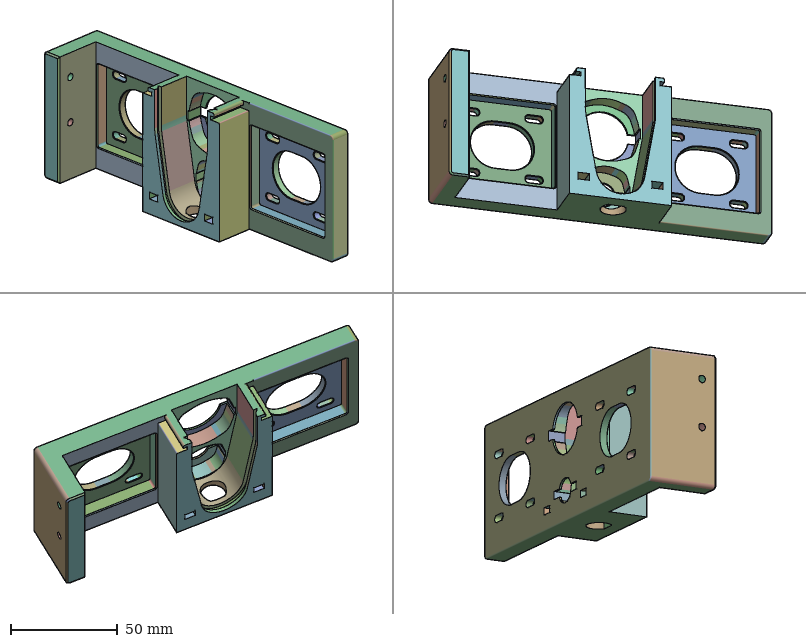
import cadquery as cq
import math


LENGTH = 165.0
DEPTH = 35.0
HEIGHT = 65.0
THICK = 10.0
MID_Z = HEIGHT / 2
CORNER_R = 2.0
EDGE_R = 0.5
WALL_RIM = 0.8

WALL_HOLE_D = 3.5
WALL_HOLE_INSET = 7.8
WALL_HOLE_HEIGHTS = (29.2, 52.5)

BLOCK_X = 85.0
BLOCK_W = 50.0
BLOCK_FRONT = 30.0
CHANNEL_FLOOR = 8.5
UPPER_Z = 45.0
LOWER_Z = 15.0
UPPER_R = 17.2
LOWER_R = 12.0
GROOVE_BACK = 25.5
GROOVE_FRONT = 28.2
GROOVE_REACH = 2.0

LEDGE_DROP = 4.0
LEDGE_W = 3.5
LEDGE_TOP_R = 1.0
UNDERCUT_W = 5.6
UNDERCUT_H = 2.0

WINDOW_W = 5.5
WINDOW_H = 3.5
WINDOW_OFFSET = 18.0
WINDOW_Z = 9.5
DRAIN_D = 12.2
DRAIN_Y = 18.0
DRAIN_FLAT = 22.8

MOUNT_OFFSET = 50.0
MOUNT_SKIN = 4.0
POCKET_W = 48.0
POCKET_H = 42.7
POCKET_CORNER_R = 1.0
BOLT_PITCH = 31.0
BOLT_SLOT_L = 8.4
BOLT_SLOT_W = 3.5
BOSS_SLOT_L = 30.9
BOSS_SLOT_W = 23.8
SLOT_CHAMFER = 0.3

HOLE_SKIN = 1.0
UPPER_HOLE = dict(z=UPPER_Z, bore=24.9, key_l=32.3, key_w=5.0,
                  tip_x=16.7, tip_z=17.3, corner=12.5, tip_r=19.8, corner_r=7.5)
LOWER_HOLE = dict(z=LOWER_Z, bore=12.0, key_l=22.0, key_w=4.0,
                  tip_x=11.2, tip_z=11.9, corner=9.0, tip_r=14.0, corner_r=5.3)

CUT = 3.3
NEAR = 0.2


def sketch_at(back_distance, x=0, z=0):
    """XZ workplane at a distance from the back; extrusions go toward the front."""
    return cq.Workplane("XZ", origin=(0, -back_distance, 0)).center(x, z)


def make_body():
    plate = sketch_at(0, LENGTH / 2, MID_Z).rect(LENGTH, HEIGHT).extrude(THICK)
    wall = sketch_at(0, THICK / 2, MID_Z).rect(THICK, HEIGHT).extrude(DEPTH)
    body = plate.union(wall)
    body = body.edges("|Y and (<X or >X)").fillet(CORNER_R)
    body = body.faces("<Y").edges().chamfer(WALL_RIM)
    return body.faces(">Y").edges().fillet(EDGE_R)


def add_block(body):
    """Add the block and round the free plate rim on its +X side."""
    block = sketch_at(EDGE_R, BLOCK_X, MID_Z).rect(BLOCK_W, HEIGHT).extrude(BLOCK_FRONT - EDGE_R)
    body = body.union(block)
    plate_front = cq.selectors.BoxSelector(
        (BLOCK_X + BLOCK_W / 2, -THICK - NEAR, 0), (LENGTH, -THICK + NEAR, HEIGHT))
    return body.faces(plate_front).edges("not <X").fillet(EDGE_R)


def channel_outline(work, grow=0.0):
    """Round-bottomed outline, tangent to a small lower and a large upper circle, open at the top."""
    upper_r = UPPER_R + grow
    lower_r = LOWER_R + grow
    tilt = math.asin((upper_r - lower_r) / (UPPER_Z - LOWER_Z))

    def on_circle(radius, z, side, angle):
        return (BLOCK_X + side * radius * math.cos(angle), z - radius * math.sin(angle))

    return (
        work.moveTo(BLOCK_X + upper_r, HEIGHT + CUT)
        .lineTo(BLOCK_X + upper_r, UPPER_Z)
        .threePointArc(on_circle(upper_r, UPPER_Z, 1, tilt / 2), on_circle(upper_r, UPPER_Z, 1, tilt))
        .lineTo(*on_circle(lower_r, LOWER_Z, 1, tilt))
        .threePointArc((BLOCK_X, LOWER_Z - lower_r), on_circle(lower_r, LOWER_Z, -1, tilt))
        .lineTo(*on_circle(upper_r, UPPER_Z, -1, tilt))
        .threePointArc(on_circle(upper_r, UPPER_Z, -1, tilt / 2), (BLOCK_X - upper_r, UPPER_Z))
        .lineTo(BLOCK_X - upper_r, HEIGHT + CUT)
        .close()
    )


def channel_tool():
    """Channel together with the dovetail groove that holds a sliding cover."""
    groove_depth = GROOVE_FRONT - GROOVE_BACK
    taper = math.degrees(math.atan(GROOVE_REACH / groove_depth))
    channel = channel_outline(sketch_at(CHANNEL_FLOOR)).extrude(DEPTH)
    groove = channel_outline(sketch_at(GROOVE_BACK), GROOVE_REACH).extrude(groove_depth, taper=taper)
    return channel.union(groove)


def cut_ledge(body, side):
    """Cut the undercut ledge on one top corner and round its two long edges."""
    edge_x = BLOCK_X + side * BLOCK_W / 2
    undercut_z = HEIGHT - LEDGE_DROP + UNDERCUT_H
    wall_x = edge_x - side * LEDGE_W
    deep_x = edge_x - side * UNDERCUT_W
    ledge_z = HEIGHT - LEDGE_DROP
    profile = [(edge_x, HEIGHT), (wall_x, HEIGHT), (wall_x, undercut_z),
               (deep_x, undercut_z), (deep_x, ledge_z), (edge_x, ledge_z)]
    body = body.cut(sketch_at(THICK).polyline(profile).close().extrude(DEPTH))
    for x, z, radius in ((wall_x, HEIGHT, LEDGE_TOP_R), (edge_x, ledge_z, EDGE_R)):
        long_edge = cq.selectors.BoxSelector((x - NEAR, -BLOCK_FRONT, z - NEAR), (x + NEAR, -THICK, z + NEAR))
        body = body.edges(long_edge).edges("|Y").fillet(radius)
    return body


def window_tool(side):
    window = sketch_at(-CUT, BLOCK_X + side * WINDOW_OFFSET, WINDOW_Z)
    return window.rect(WINDOW_W, WINDOW_H).extrude(DEPTH + CUT)


def drain_tool():
    """Vertical round hole with a flat on its front side."""
    hole = cq.Workplane("XY", origin=(BLOCK_X, -DRAIN_Y, -CUT)).circle(DRAIN_D / 2).extrude(LOWER_Z)
    behind_flat = sketch_at(0, BLOCK_X, MID_Z).rect(BLOCK_W, HEIGHT + 2 * CUT).extrude(DRAIN_FLAT)
    return hole.intersect(behind_flat)


def mount_tool(side):
    """Pocket with a rim chamfer, four bolt slots and a slotted boss hole."""
    x = BLOCK_X + side * MOUNT_OFFSET
    pocket = cq.Sketch().rect(POCKET_W, POCKET_H).vertices().fillet(POCKET_CORNER_R)
    rim = sketch_at(THICK - EDGE_R, x, MID_Z).placeSketch(pocket).extrude(EDGE_R, taper=-45)
    tool = sketch_at(MOUNT_SKIN, x, MID_Z).placeSketch(pocket).extrude(THICK - MOUNT_SKIN).union(rim)
    slots = [(0, 0, BOSS_SLOT_L, BOSS_SLOT_W)]
    for dx in (-BOLT_PITCH / 2, BOLT_PITCH / 2):
        for dz in (-BOLT_PITCH / 2, BOLT_PITCH / 2):
            slots.append((dx, dz, BOLT_SLOT_L, BOLT_SLOT_W))
    for dx, dz, length, width in slots:
        slot = sketch_at(-CUT, x + dx, MID_Z + dz).slot2D(length, width).extrude(MOUNT_SKIN + CUT)
        flare = sketch_at(MOUNT_SKIN - SLOT_CHAMFER, x + dx, MID_Z + dz)
        flare = flare.slot2D(length, width).extrude(SLOT_CHAMFER, taper=-45)
        tool = tool.union(slot).union(flare)
    return tool


def recess_tool(z, tip_x, tip_z, corner, tip_r, corner_r):
    """Eight-sided recess: blunt tips on the axes and tighter corners on the diagonals."""
    tips = [(tip_x, 0), (0, tip_z), (-tip_x, 0), (0, -tip_z)]
    corners = [(corner, corner), (-corner, corner), (-corner, -corner), (corner, -corner)]
    outline = [point for pair in zip(tips, corners) for point in pair]
    recess = sketch_at(HOLE_SKIN, BLOCK_X, z).polyline(outline).close().extrude(CHANNEL_FLOOR - HOLE_SKIN)
    for points, radius in ((tips, tip_r), (corners, corner_r)):
        for dx, dz in points:
            edge_point = (BLOCK_X + dx, -(HOLE_SKIN + CHANNEL_FLOOR) / 2, z + dz)
            recess = recess.edges(cq.selectors.NearestToPointSelector(edge_point)).fillet(radius)
    return recess


def keyed_hole_tool(z, bore, key_l, key_w, **recess_sizes):
    """Round hole with two key slots, opening into the recess."""
    hole = sketch_at(-CUT, BLOCK_X, z).circle(bore / 2).extrude(CHANNEL_FLOOR + CUT)
    key = sketch_at(-CUT, BLOCK_X, z).rect(key_l, key_w).extrude(CHANNEL_FLOOR + CUT)
    return hole.union(key).union(recess_tool(z, **recess_sizes))


def wall_hole_tool(z):
    hole = cq.Workplane("YZ", origin=(-CUT, WALL_HOLE_INSET - DEPTH, z))
    return hole.circle(WALL_HOLE_D / 2).extrude(THICK + 2 * CUT)


result = add_block(make_body()).cut(channel_tool())
for side in (-1, 1):
    result = cut_ledge(result, side)
    result = result.cut(window_tool(side)).cut(mount_tool(side))
result = result.cut(drain_tool())
for hole in (UPPER_HOLE, LOWER_HOLE):
    result = result.cut(keyed_hole_tool(**hole))
for hole_z in WALL_HOLE_HEIGHTS:
    result = result.cut(wall_hole_tool(hole_z))